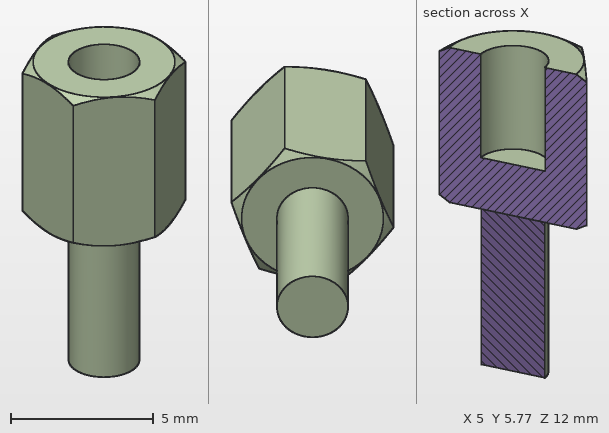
import cadquery as cq
import math

total_height = 12.0
across_flats = 5.0
hex_height = total_height / 2
stud_length = total_height - hex_height
thread_diameter = 2.5
bore_depth = 4.0

chamfer_angle = 30.0
face_diameter = 4.97

across_corners = across_flats / math.cos(math.radians(30))


def make_chamfer_envelope():
    """Round blank with coned ends that trims the corners of the hexagon."""
    face_radius = face_diameter / 2
    corner_radius = across_corners / 2
    drop = (corner_radius - face_radius) * math.tan(math.radians(chamfer_angle))
    return (
        cq.Workplane("XZ")
        .moveTo(0, 0)
        .lineTo(face_radius, 0)
        .lineTo(corner_radius, drop)
        .lineTo(corner_radius, hex_height - drop)
        .lineTo(face_radius, hex_height)
        .lineTo(0, hex_height)
        .close()
        .revolve(360, (0, 0, 0), (0, 1, 0))
    )


def make_spacer():
    """Hexagonal spacer with corners on the Y axis and a blind bore from the top."""
    hexagon = (
        cq.Workplane("XY")
        .polygon(6, across_corners)
        .extrude(hex_height)
        .rotate((0, 0, 0), (0, 0, 1), 30)
    )
    bore = (
        cq.Workplane("XY")
        .workplane(offset=hex_height - bore_depth)
        .circle(thread_diameter / 2)
        .extrude(bore_depth)
    )
    return hexagon.intersect(make_chamfer_envelope()).cut(bore).solids()


def make_stud():
    """Plain round stud that meets the underside of the spacer at Z = 0."""
    return cq.Workplane("XY").circle(thread_diameter / 2).extrude(-stud_length)


spacer = make_spacer()
stud = make_stud()

result = cq.Compound.makeCompound([spacer.val(), stud.val()])